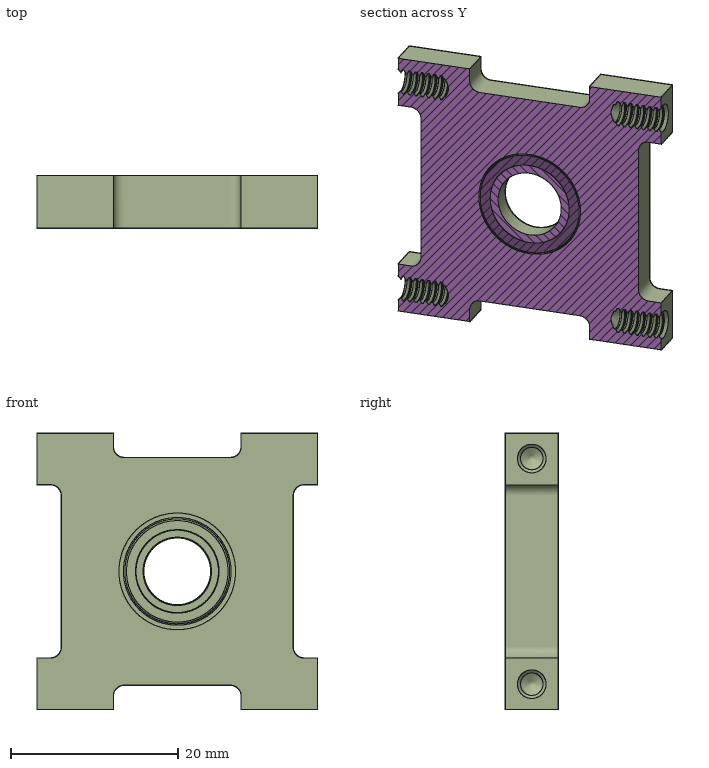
import cadquery as cq
import math

WIDTH = 33.53
HEIGHT = 33.03
THICKNESS = 6.35
NOTCH_DEPTH = 2.9
END_NOTCH_LENGTH = 15.22
SIDE_NOTCH_LENGTH = 20.65
NOTCH_CORNER_RADIUS = 1.25

RECESS_RADIUS = 6.97
RECESS_DEPTH = 1.6
RECESS_CORNER_RADIUS = 0.15

BEARING_RADIUS = 6.45
SHIELD_OUTER_RADIUS = 6.27
SHIELD_INNER_RADIUS = 5.0
BORE_RADIUS = 4.0
BORE_CHAMFER = 0.1
EDGE_CHAMFER_WIDTH = 0.2
EDGE_CHAMFER_HEIGHT = 0.1
INNER_RACE_PROTRUSION = 0.07
INNER_RACE_CHAMFER = 0.07

THREAD_HEIGHT_FROM_CENTRE = 13.48
THREAD_MAJOR_RADIUS = 1.7
THREAD_MINOR_RADIUS = 1.35
THREAD_PITCH = 0.8
THREAD_TURNS = 7
THREAD_ROOT_WIDTH = 0.1
THREAD_FLANK_ANGLE = 35.0
DRILL_TIP_ANGLE = 118.0

FRONT_Y = -THICKNESS / 2
BACK_Y = THICKNESS / 2
SEAT_Y = FRONT_Y + RECESS_DEPTH
EDGE_SLOPE = EDGE_CHAMFER_HEIGHT / EDGE_CHAMFER_WIDTH
OUTER_RACE_FRONT_Y = SEAT_Y - (BEARING_RADIUS - SHIELD_OUTER_RADIUS) * EDGE_SLOPE
SHIELD_FRONT_Y = OUTER_RACE_FRONT_Y - EDGE_CHAMFER_HEIGHT
INNER_RACE_FRONT_Y = SHIELD_FRONT_Y - INNER_RACE_PROTRUSION


def revolve_about_y(outline):
    """Solid of revolution about the Y axis from (radius, y) points."""
    return cq.Workplane("XY").polyline(outline).close().revolve(360, (0, 0, 0), (0, 1, 0))


def cylinder(radius, front_y, back_y):
    """Solid cylinder on the Y axis between two Y positions."""
    return cq.Workplane("XZ", origin=(0, front_y, 0)).circle(radius).extrude(front_y - back_y)


def make_notch(length_x, length_z, x, z):
    """Cutter for an edge notch, with all four of its long edges rounded."""
    block = cq.Workplane("XY").box(length_x, THICKNESS, length_z)
    return block.edges("|Y").fillet(NOTCH_CORNER_RADIUS).translate((x, 0, z))


def make_threaded_hole():
    """Cutter that enters along +X from the origin: lead-in, ring-shaped thread grooves and drill tip."""
    lead_in = THREAD_MAJOR_RADIUS - THREAD_MINOR_RADIUS
    flank_length = lead_in * math.tan(math.radians(THREAD_FLANK_ANGLE))
    outline = [(0, 0), (0, THREAD_MAJOR_RADIUS), (lead_in, THREAD_MINOR_RADIUS)]
    for turn in range(THREAD_TURNS):
        root_start = lead_in + turn * THREAD_PITCH + flank_length
        root_end = root_start + THREAD_ROOT_WIDTH
        outline.append((root_start, THREAD_MAJOR_RADIUS))
        outline.append((root_end, THREAD_MAJOR_RADIUS))
        outline.append((root_end + flank_length, THREAD_MINOR_RADIUS))
        outline.append((lead_in + (turn + 1) * THREAD_PITCH, THREAD_MINOR_RADIUS))
    end = lead_in + THREAD_TURNS * THREAD_PITCH
    tip_length = THREAD_MINOR_RADIUS / math.tan(math.radians(DRILL_TIP_ANGLE / 2))
    outline.append((end + tip_length, 0))
    return cq.Workplane("XY").polyline(outline).close().revolve(360, (0, 0, 0), (1, 0, 0))


def make_housing():
    plate = cq.Workplane("XY").box(WIDTH, THICKNESS, HEIGHT)
    for side in (-1, 1):
        plate = plate.cut(make_notch(END_NOTCH_LENGTH, 2 * NOTCH_DEPTH, 0, side * HEIGHT / 2))
        plate = plate.cut(make_notch(2 * NOTCH_DEPTH, SIDE_NOTCH_LENGTH, side * WIDTH / 2, 0))

    recess = cylinder(RECESS_RADIUS, FRONT_Y, SEAT_Y)
    recess = recess.faces(">Y").edges().fillet(RECESS_CORNER_RADIUS)
    plate = plate.cut(recess).cut(cylinder(BEARING_RADIUS, FRONT_Y, BACK_Y))

    left_hole = make_threaded_hole().translate((-WIDTH / 2, 0, 0))
    right_hole = left_hole.mirror("YZ")
    for hole in (left_hole, right_hole):
        for z in (-THREAD_HEIGHT_FROM_CENTRE, THREAD_HEIGHT_FROM_CENTRE):
            plate = plate.cut(hole.translate((0, 0, z)))
    return plate


def make_outer_race():
    return revolve_about_y([
        (BEARING_RADIUS, BACK_Y),
        (BEARING_RADIUS, SEAT_Y),
        (SHIELD_OUTER_RADIUS, OUTER_RACE_FRONT_Y),
        (SHIELD_OUTER_RADIUS, BACK_Y),
    ])


def make_shield():
    return revolve_about_y([
        (SHIELD_OUTER_RADIUS, BACK_Y),
        (SHIELD_OUTER_RADIUS, OUTER_RACE_FRONT_Y),
        (SHIELD_OUTER_RADIUS - EDGE_CHAMFER_WIDTH, SHIELD_FRONT_Y),
        (SHIELD_INNER_RADIUS, SHIELD_FRONT_Y),
        (SHIELD_INNER_RADIUS, BACK_Y),
    ])


def make_inner_race():
    return revolve_about_y([
        (SHIELD_INNER_RADIUS, BACK_Y),
        (SHIELD_INNER_RADIUS, INNER_RACE_FRONT_Y + INNER_RACE_CHAMFER),
        (SHIELD_INNER_RADIUS - INNER_RACE_CHAMFER, INNER_RACE_FRONT_Y),
        (BORE_RADIUS + BORE_CHAMFER, INNER_RACE_FRONT_Y),
        (BORE_RADIUS, INNER_RACE_FRONT_Y + BORE_CHAMFER),
        (BORE_RADIUS, BACK_Y - BORE_CHAMFER),
        (BORE_RADIUS + BORE_CHAMFER, BACK_Y),
    ])


housing = make_housing()
outer_race = make_outer_race()
shield = make_shield()
inner_race = make_inner_race()

result = cq.Compound.makeCompound([
    housing.val(),
    outer_race.val(),
    shield.val(),
    inner_race.val(),
])